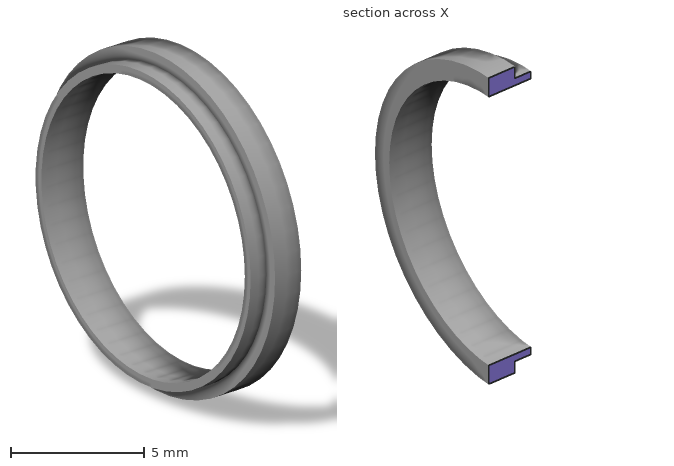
import cadquery as cq

flange_diameter = 13.72
spigot_diameter = 12.69
bore_diameter = 12.0
flange_width = 1.27
spigot_width = 0.76


def ring(outer_diameter, start_y, width):
    """Plain ring around the Y axis, running from start_y toward +Y."""
    return (
        cq.Workplane("XZ", origin=(0, start_y, 0))
        .circle(outer_diameter / 2)
        .circle(bore_diameter / 2)
        .extrude(-width)
    )


spigot = ring(spigot_diameter, 0, spigot_width)
flange = ring(flange_diameter, spigot_width, flange_width)

result = flange.union(spigot)